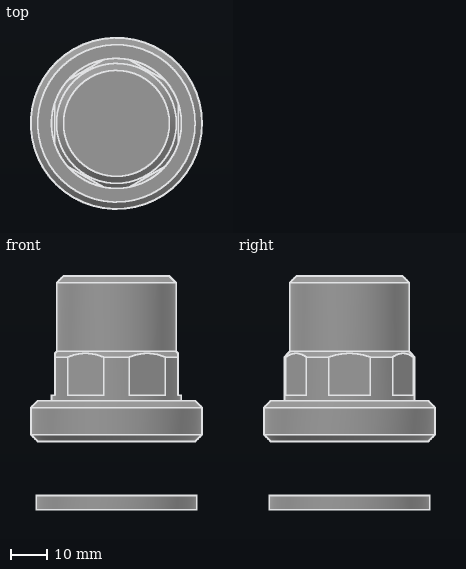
import cadquery as cq

disc_diameter = 44.6
disc_thickness = 4.0

total_height = 64.9
flange_bottom = 18.95
flange_height = 11.35
flange_top = flange_bottom + flange_height
flat_bottom = flange_top + 1.55
collar_top = 43.95

flange_diameter = 47.6
flange_chamfer = 1.95
collar_diameter = 36.1
collar_bevel_height = 1.55
spigot_diameter = 33.3
spigot_chamfer = 1.95

across_flats = 34.2
flat_count = 6


def cylinder(diameter, bottom, top):
    return cq.Workplane("XY").workplane(offset=bottom).circle(diameter / 2).extrude(top - bottom)


def make_flange():
    return cylinder(flange_diameter, flange_bottom, flange_top).edges().chamfer(flange_chamfer)


def make_collar():
    """Round collar with a bevelled top and six wrench flats, two of them facing along X."""
    collar_radius = collar_diameter / 2
    bevel_width = (collar_diameter - spigot_diameter) / 2
    collar = (
        cylinder(collar_diameter, flange_top, collar_top)
        .faces(">Z")
        .edges()
        .chamfer(collar_bevel_height, bevel_width)
    )
    flat_height = collar_top - flat_bottom
    cut_depth = collar_radius - across_flats / 2
    flat_cutter = cq.Workplane("XY").box(
        cut_depth, collar_diameter, flat_height, centered=(False, True, False)
    ).translate((across_flats / 2, 0, flat_bottom))
    for i in range(flat_count):
        collar = collar.cut(flat_cutter.rotate((0, 0, 0), (0, 0, 1), i * 360 / flat_count))
    return collar


def make_spigot():
    spigot = cylinder(spigot_diameter, collar_top, total_height)
    return spigot.faces(">Z").edges().chamfer(spigot_chamfer)


def make_plug():
    return make_flange().union(make_collar()).union(make_spigot())


def make_disc():
    return cylinder(disc_diameter, 0, disc_thickness)


plug = make_plug()
disc = make_disc()
result = cq.Compound.makeCompound([plug.solids().val(), disc.val()])